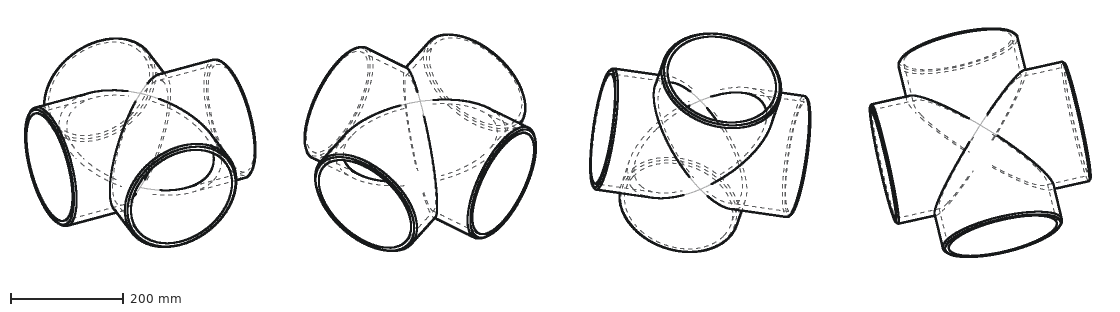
import cadquery as cq

length = 356.0
outer_diameter = 219.0
bore_diameter = 198.3
bevel_depth = 3.5
bevel_height = 3.5

outer_radius = outer_diameter / 2
bore_radius = bore_diameter / 2
half_length = length / 2


def bevelled_bar():
    """Solid round bar along X, bevelled around both ends."""
    end_radius = outer_radius - bevel_height
    bevel_start = half_length - bevel_depth
    return (
        cq.Workplane("XY")
        .moveTo(-half_length, 0)
        .lineTo(-half_length, end_radius)
        .lineTo(-bevel_start, outer_radius)
        .lineTo(bevel_start, outer_radius)
        .lineTo(half_length, end_radius)
        .lineTo(half_length, 0)
        .close()
        .revolve(360, (0, 0, 0), (1, 0, 0))
    )


def bore():
    """Through bore along X."""
    return cq.Workplane("YZ").circle(bore_radius).extrude(half_length, both=True)


def crossed(body):
    """Join a body along X with its copy turned to lie along Y."""
    return body.union(body.rotate((0, 0, 0), (0, 0, 1), 90))


result = crossed(bevelled_bar()).cut(crossed(bore()))